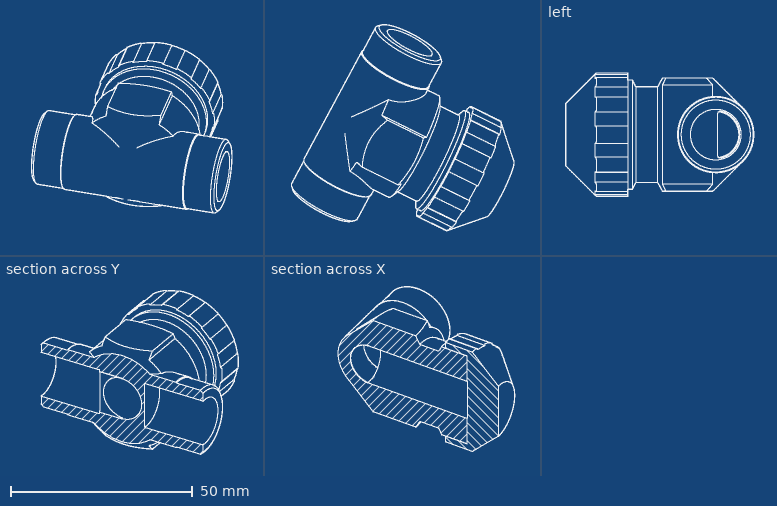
import cadquery as cq
import math


pipe_length = 52.0
pipe_radius = 10.5
pipe_middle_length = 35.05
spigot_radius = 10.3
spigot_chamfer = 0.8
step_length = pipe_radius - spigot_radius

bore_radius = 6.95
end_wall = 1.05
chamber_radius = 6.25
chamber_floor_radius = 6.35
window_radius = 6.6
window_edge_y = -0.5
window_corner_radius = 0.8
bore_depth = pipe_length / 2 - chamber_radius - end_wall

branch_radius = 15.6
cone_radius_at_axis = 14.75
neck_radius = 13.2
neck_start_y = 15.95
neck_end_y = 22.0
shoulder_height = 1.3
thread_radius = 15.1
thread_start_y = 22.95
thread_end_y = 31.2
cone_end_y = -cone_radius_at_axis / 2

block_width = 15.2
block_height = 2 * branch_radius
shoulder_slope = (branch_radius - neck_radius) / shoulder_height
corner_margin = 0.5
block_reach = math.hypot(block_width / 2, block_height / 2) + corner_margin

cap_bottom_y = 24.2
cap_top_y = 41.3
cap_top_radius = 8.6
cap_radius = 16.65
rib_radius = 17.0
rib_count = 12
rib_width = 4.8
rib_edge_fillet = 0.4


def revolve_about_y(points):
    """Solid of revolution about Y from (radius, y) points."""
    return cq.Workplane("XY").polyline(points).close().revolve(360, (0, 0), (0, 1))


def revolve_about_x(points):
    """Solid of revolution about X from (x, radius) points."""
    return cq.Workplane("XY").polyline(points).close().revolve(360, (0, 0), (1, 0))


def cylinder_along_x(radius, start_x, length):
    return cq.Workplane("YZ", origin=(start_x, 0, 0)).circle(radius).extrude(length)


def cylinder_along_y(radius, start_y, end_y):
    return cq.Workplane("XZ", origin=(0, start_y, 0)).circle(radius).extrude(start_y - end_y)


def make_pipe():
    half_length = pipe_length / 2
    half_middle = pipe_middle_length / 2
    right_half = [
        (half_middle - step_length, pipe_radius),
        (half_middle, spigot_radius),
        (half_length - spigot_chamfer, spigot_radius),
        (half_length, spigot_radius - spigot_chamfer),
    ]
    left_half = [(-x, radius) for x, radius in reversed(right_half)]
    return revolve_about_x([(-half_length, 0), *left_half, *right_half, (half_length, 0)])


def make_turned_envelope():
    """Space between the lower cone and the shoulder cone, wide enough for the block corners."""
    return revolve_about_y([
        (0, cone_end_y),
        (cone_radius_at_axis + cone_end_y, cone_end_y),
        (block_reach, block_reach - cone_radius_at_axis),
        (block_reach, neck_start_y - (block_reach - neck_radius) / shoulder_slope),
        (neck_radius, neck_start_y),
        (0, neck_start_y),
    ])


def make_branch_base():
    """Round lower part with a block of two spanner flats, both ends turned to cones."""
    base = cylinder_along_y(branch_radius, cone_end_y, neck_start_y)
    block = cq.Workplane("XY").box(block_width, neck_start_y, block_height)
    block = block.translate((0, neck_start_y / 2, 0))
    return base.union(block).intersect(make_turned_envelope())


def make_neck():
    """Neck and threaded end of the branch."""
    return revolve_about_y([
        (0, neck_start_y),
        (neck_radius, neck_start_y),
        (neck_radius, neck_end_y),
        (thread_radius, thread_start_y),
        (thread_radius, thread_end_y),
        (0, thread_end_y),
    ])


def make_chamber():
    """Upright chamber, open to the threaded end, with its floor rounded about the pipe axis."""
    lower = cylinder_along_y(chamber_radius, -pipe_radius, 0)
    lower = lower.intersect(cylinder_along_x(chamber_floor_radius, -pipe_length / 2, pipe_length))
    upper = cylinder_along_y(chamber_radius, 0, thread_end_y)
    return lower.union(upper)


def make_window():
    """D-shaped opening from the inlet bore into the bottom of the chamber."""
    length = chamber_radius + end_wall
    window = cylinder_along_x(window_radius, -length, length)
    lower_side = cq.Workplane("XY").box(3 * length, window_radius, 2 * window_radius)
    lower_side = lower_side.translate((0, window_edge_y - window_radius / 2, 0))
    return window.intersect(lower_side).edges("|X").fillet(window_corner_radius)


def make_housing():
    housing = make_pipe().union(make_branch_base()).union(make_neck())
    for start_x in (-pipe_length / 2, pipe_length / 2 - bore_depth):
        housing = housing.cut(cylinder_along_x(bore_radius, start_x, bore_depth))
    return housing.cut(make_chamber()).cut(make_window())


def make_rib():
    """Rib at the +Z side of the cap, with rounded long edges."""
    height = 2 * (rib_radius - thread_radius)
    length = cap_top_y - cap_bottom_y
    rib = cq.Workplane("XY").box(rib_width, length, height)
    rib = rib.translate((0, (cap_bottom_y + cap_top_y) / 2, thread_radius + height / 2))
    rib = rib.intersect(cylinder_along_y(rib_radius, cap_bottom_y, cap_top_y))
    return rib.edges("|Y").edges(">Z").fillet(rib_edge_fillet)


def make_cap():
    cone_height = rib_radius - cap_top_radius
    cone_envelope = revolve_about_y([
        (0, cap_bottom_y),
        (rib_radius, cap_bottom_y),
        (rib_radius, cap_top_y - cone_height),
        (cap_top_radius, cap_top_y),
        (0, cap_top_y),
    ])
    cap = cylinder_along_y(cap_radius, cap_bottom_y, cap_top_y)
    rib = make_rib()
    for index in range(rib_count):
        cap = cap.union(rib.rotate((0, 0, 0), (0, 1, 0), index * 360 / rib_count))
    socket = cylinder_along_y(thread_radius, cap_bottom_y, thread_end_y)
    return cap.intersect(cone_envelope).cut(socket)


housing = make_housing()
cap = make_cap()
result = cq.Compound.makeCompound([housing.solids().val(), cap.solids().val()])